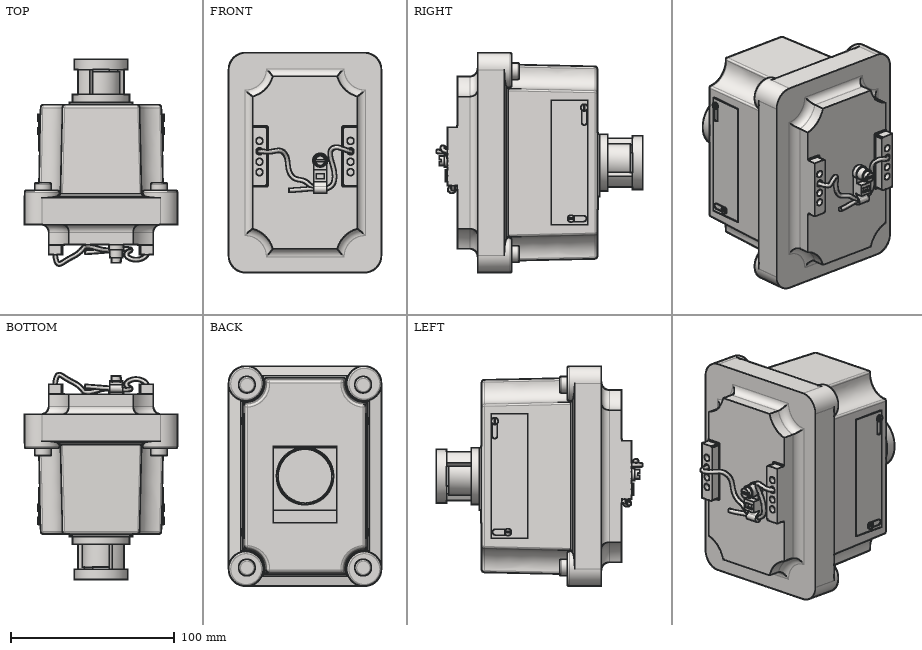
import cadquery as cq
import math

PLATE_X = 93.73
PLATE_Z = 134.87
PLATE_CORNER_R = 10.65
PLATE_EDGE_Y = 16.5
LEDGE_RISE = 1.2
LEDGE_WIDTH = 7.2
LEDGE_CORNER_R = PLATE_CORNER_R + 0.3
PAD_Y = 21.0
PAD_ROUND = 1.2
PAD_CENTER_X = PLATE_X / 2 - PLATE_CORNER_R
PAD_CENTER_Z = PLATE_Z / 2 - PLATE_CORNER_R

BOLT_X = 35.6
BOLT_Z = 56.0
BOLT_R = 5.1
BOLT_HEAD = 4.6
BOLT_ROUND = 1.0

BODY_Y = 73.5
BODY_EMBED = 2.0
BODY_START_Y = PLATE_EDGE_Y + LEDGE_RISE - BODY_EMBED
BODY_HALF_X = 38.25
BODY_HALF_Z = 60.25
BODY_SCOOP_R = 11.4
BODY_DRAFT = 1.25
BODY_ROUND = 1.8
SCOOP_EDGE_ROUND = 1.2
SKIRT_FOOT = 3.0
SKIRT_RISE = 4.0

BOSS_HALF_X = 32.1
BOSS_HALF_Z = 52.85
BOSS_DEPTH = 12.3
BOSS_ROOT_R = 4.7
BOSS_SCOOP_R = 17.7

BLOCK_INNER_X = 23.4
BLOCK_FRONT_Y = -18.4
BLOCK_TOP_Z = 21.8
BLOCK_BOTTOM_Z = -14.1
BLOCK_CHAMFER = 0.8
BLOCK_BASE_MARGIN = 0.8
BLOCK_BASE_HEIGHT = 0.3
TERMINAL_X = 27.9
TERMINAL_TOP_Z = 13.3
TERMINAL_PITCH = 6.38
TERMINAL_COUNT = 4
TERMINAL_R = 2.1
TERMINAL_DEPTH = 4.0
TERMINAL_WIRED = 1

SCREW_X = 9.3
SCREW_Z = 1.2
SCREW_FLANGE_R = 4.5
SCREW_FLANGE_Y = -15.4
SCREW_POST_R = 3.9
SCREW_POST_Y = -20.3
SCREW_HEAD_R = 3.0
SCREW_HEAD_Y = -23.5
SCREW_SLOT_WIDTH = 1.2
SCREW_SLOT_DEPTH = 1.2
CLAMP_WIDTH = 7.9
CLAMP_BLOCK_Y = -19.7
CLAMP_BLOCK_TOP_Z = -4.4
CLAMP_BLOCK_BOTTOM_Z = -11.7
CLAMP_NECK_Y = -14.5
CLAMP_SADDLE_DEG = 25
CLAMP_WINDOW_X = 5.0
CLAMP_WINDOW_Z = 3.1
CLAMP_WINDOW_CENTER_Z = -8.3
CLAMP_WINDOW_DEPTH = 2.0
SLEEVE_R = 2.4
SLEEVE_Y = -15.7
SLEEVE_Z = -16.4
WIRE_R = 1.25
WIRE_EMBED = 0.3

LABEL_FACE_X = 38.0
LABEL_ROOT_X = 33.0
LABEL_BACK_Y = 67.6
LABEL_FRONT_Y = 45.2
LABEL_HALF_Z = 38.2
LABEL_SLOT_FLOOR_X = 37.6
LABEL_SCREW_R = 2.1
LABEL_SCREW_TOP_X = 38.85
LABEL_SCREW_SLOT = 0.8
LABEL_SCREW_SLOT_DEPTH = 0.6
UPPER_SCREW = (65.4, 33.7)
UPPER_SLOT_WIDTH = 3.0
UPPER_SLOT_END_Z = 23.0
LOWER_SCREW = (57.3, -34.3)
LOWER_SLOT_WIDTH = 3.6
LOWER_SLOT_END_Y = 66.7

TAG_HALF_X = 19.4
TAG_TOP_Z = 18.4
TAG_BOTTOM_Z = -28.7
TAG_HEIGHT = 0.35
TAG_EMBED = 1.0
HUB_PLATE_BOTTOM_Z = -20.8
HUB_PLATE_Y = 75.0
HUB_R = 17.5
HUB_Y = 79.8
KNOB_CORE_R = 11.6
WING_INNER_R = 11.9
WING_OUTER_R = 16.4
KNOB_CORE_Y = 93.7
KNOB_R = 16.5
KNOB_CAP_FRONT_Y = 94.9
KNOB_CAP_BACK_Y = 101.32
WING_START_DEG = 30.2
WING_END_DEG = 65.6

CORNERS = [(sx, sz) for sx in (-1, 1) for sz in (-1, 1)]


def rear_plane(y):
    """Workplane at depth y whose normal is +Y; its local y axis runs along -Z."""
    return cq.Workplane(cq.Plane(origin=(0, y, 0), xDir=(1, 0, 0), normal=(0, 1, 0)))


def box(x0, x1, y0, y1, z0, z1):
    """Box between two opposite corners, given in any order."""
    size = (abs(x1 - x0), abs(y1 - y0), abs(z1 - z0))
    return cq.Workplane("XY").box(*size).translate(((x0 + x1) / 2, (y0 + y1) / 2, (z0 + z1) / 2))


def cylinder(x, z, radius, y0, y1):
    """Cylinder along Y from y0 back to y1."""
    return rear_plane(y0).center(x, -z).circle(radius).extrude(y1 - y0)


def scooped_outline(plane, half_x, half_z, center_x, center_z, radius):
    """Rectangle whose four corners are cut away by circles about (center_x, center_z)."""
    edge_x = center_x - math.sqrt(radius**2 - (half_z - center_z) ** 2)
    edge_z = center_z - math.sqrt(radius**2 - (half_x - center_x) ** 2)
    mid_x = center_x - radius * math.cos(math.pi / 4)
    mid_z = center_z - radius * math.sin(math.pi / 4)
    return (
        plane.moveTo(-edge_x, half_z)
        .lineTo(edge_x, half_z)
        .threePointArc((mid_x, mid_z), (half_x, edge_z))
        .lineTo(half_x, -edge_z)
        .threePointArc((mid_x, -mid_z), (edge_x, -half_z))
        .lineTo(-edge_x, -half_z)
        .threePointArc((-mid_x, -mid_z), (-half_x, -edge_z))
        .lineTo(-half_x, edge_z)
        .threePointArc((-mid_x, mid_z), (-edge_x, half_z))
        .close()
    )


def make_plate():
    """Cross-shaped plate rounded off by corner pads, with a sloping rear ledge and four bolts."""
    half_x = PLATE_X / 2
    half_z = PLATE_Z / 2
    plate = box(-half_x, half_x, 0, PLATE_EDGE_Y, -PAD_CENTER_Z, PAD_CENTER_Z)
    plate = plate.union(box(-PAD_CENTER_X, PAD_CENTER_X, 0, PLATE_EDGE_Y, -half_z, half_z))
    slope = math.degrees(math.atan2(LEDGE_WIDTH, LEDGE_RISE))
    outline = cq.Sketch().rect(PLATE_X, PLATE_Z).vertices().fillet(LEDGE_CORNER_R)
    plate = plate.union(rear_plane(PLATE_EDGE_Y).placeSketch(outline).extrude(LEDGE_RISE, taper=slope))
    for sx, sz in CORNERS:
        pad = cylinder(sx * PAD_CENTER_X, sz * PAD_CENTER_Z, PLATE_CORNER_R, 0, PAD_Y)
        bolt = cylinder(sx * BOLT_X, sz * BOLT_Z, BOLT_R, 0, PAD_Y + BOLT_HEAD)
        plate = plate.union(pad.faces(">Y").edges().fillet(PAD_ROUND))
        plate = plate.union(bolt.faces(">Y").edges().fillet(BOLT_ROUND))
    return plate


def make_body():
    """Drafted housing with a rounded rear rim and a sloping skirt at its foot."""

    def outline(grow):
        half_x = BODY_HALF_X + grow
        half_z = BODY_HALF_Z + grow
        radius = BODY_SCOOP_R - grow
        return scooped_outline(rear_plane(BODY_START_Y), half_x, half_z, PAD_CENTER_X, PAD_CENTER_Z, radius)

    body = outline(0).extrude(BODY_Y - BODY_START_Y, taper=BODY_DRAFT)
    body = body.edges("not (#Y or >Y or <Y)").fillet(SCOOP_EDGE_ROUND)
    body = body.faces(">Y").edges().fillet(BODY_ROUND)
    skirt = outline(SKIRT_FOOT).extrude(SKIRT_RISE, taper=45)
    return body.union(skirt)


def add_boss(part):
    """Add the front boss and the concave fillet at its root."""
    overlap = 1.0
    tolerance = 0.1
    center_x = BOSS_HALF_X + BOSS_ROOT_R
    center_z = BOSS_HALF_Z + BOSS_ROOT_R
    boss = scooped_outline(
        rear_plane(-BOSS_DEPTH), BOSS_HALF_X, BOSS_HALF_Z, center_x, center_z, BOSS_SCOOP_R
    ).extrude(BOSS_DEPTH + overlap)
    root_box = cq.selectors.BoxSelector(
        (-center_x, -tolerance, -center_z), (center_x, tolerance, center_z)
    )
    return part.union(boss).edges(root_box).fillet(BOSS_ROOT_R)


def make_terminal_block(side):
    """Terminal block on one side (-1 or 1) with its row of blind holes and thin base."""
    block = box(
        side * BOSS_HALF_X, side * BLOCK_INNER_X, -BOSS_DEPTH, BLOCK_FRONT_Y, BLOCK_BOTTOM_Z, BLOCK_TOP_Z
    )
    base = box(
        side * BOSS_HALF_X,
        side * (BLOCK_INNER_X - BLOCK_BASE_MARGIN),
        -BOSS_DEPTH,
        -BOSS_DEPTH - BLOCK_BASE_HEIGHT,
        BLOCK_BOTTOM_Z - BLOCK_BASE_MARGIN,
        BLOCK_TOP_Z + BLOCK_BASE_MARGIN,
    )
    inner_edges = "|Y and <X" if side > 0 else "|Y and >X"
    block = block.edges(inner_edges).chamfer(BLOCK_CHAMFER)
    base = base.edges(inner_edges).chamfer(BLOCK_CHAMFER)
    block = block.union(base)
    for index in range(TERMINAL_COUNT):
        z = TERMINAL_TOP_Z - index * TERMINAL_PITCH
        hole = cylinder(side * TERMINAL_X, z, TERMINAL_R, BLOCK_FRONT_Y, BLOCK_FRONT_Y + TERMINAL_DEPTH)
        block = block.cut(hole)
    return block


def make_earth_screw():
    """Flanged screw post with a slotted head."""
    screw = cylinder(SCREW_X, SCREW_Z, SCREW_FLANGE_R, SCREW_FLANGE_Y, -BOSS_DEPTH)
    screw = screw.union(cylinder(SCREW_X, SCREW_Z, SCREW_POST_R, SCREW_POST_Y, -BOSS_DEPTH))
    screw = screw.union(cylinder(SCREW_X, SCREW_Z, SCREW_HEAD_R, SCREW_HEAD_Y, -BOSS_DEPTH))
    slot = box(
        SCREW_X - SCREW_HEAD_R,
        SCREW_X + SCREW_HEAD_R,
        SCREW_HEAD_Y,
        SCREW_HEAD_Y + SCREW_SLOT_DEPTH,
        SCREW_Z - SCREW_SLOT_WIDTH / 2,
        SCREW_Z + SCREW_SLOT_WIDTH / 2,
    )
    return screw.cut(slot)


def make_clamp():
    """Strap from the earth screw to a windowed block that ends in a cable sleeve."""
    x0 = SCREW_X - CLAMP_WIDTH / 2
    saddle = math.radians(CLAMP_SADDLE_DEG)
    profile = [
        (-BOSS_DEPTH, SCREW_Z),
        (SCREW_FLANGE_Y, SCREW_Z),
        (SCREW_FLANGE_Y, CLAMP_BLOCK_TOP_Z),
        (CLAMP_BLOCK_Y, CLAMP_BLOCK_TOP_Z),
        (CLAMP_BLOCK_Y, CLAMP_BLOCK_BOTTOM_Z),
        (CLAMP_NECK_Y, CLAMP_BLOCK_BOTTOM_Z),
        (SLEEVE_Y - SLEEVE_R * math.cos(saddle), SLEEVE_Z + SLEEVE_R * math.sin(saddle)),
        (SLEEVE_Y, SLEEVE_Z),
        (-BOSS_DEPTH, SLEEVE_Z),
    ]
    clamp = cq.Workplane("YZ", origin=(x0, 0, 0)).polyline(profile).close().extrude(CLAMP_WIDTH)
    window = box(
        SCREW_X - CLAMP_WINDOW_X / 2,
        SCREW_X + CLAMP_WINDOW_X / 2,
        CLAMP_BLOCK_Y,
        CLAMP_BLOCK_Y + CLAMP_WINDOW_DEPTH,
        CLAMP_WINDOW_CENTER_Z - CLAMP_WINDOW_Z / 2,
        CLAMP_WINDOW_CENTER_Z + CLAMP_WINDOW_Z / 2,
    )
    sleeve = cq.Workplane("YZ", origin=(x0, 0, 0)).center(SLEEVE_Y, SLEEVE_Z).circle(SLEEVE_R)
    return clamp.cut(window).union(sleeve.extrude(CLAMP_WIDTH))


def make_wire(points):
    """Round wire along a smooth curve through the given points."""
    path = cq.Workplane("XY").spline([cq.Vector(*point) for point in points])
    start = cq.Vector(*points[0])
    direction = path.val().tangentAt(0)
    return cq.Workplane(cq.Plane(origin=start, normal=direction)).circle(WIRE_R).sweep(path)


def make_wires():
    """Two terminal wires and one loose tail, all meeting inside the clamp sleeve."""
    wired_z = TERMINAL_TOP_Z - TERMINAL_WIRED * TERMINAL_PITCH
    wire_start_y = BLOCK_FRONT_Y + TERMINAL_DEPTH + WIRE_EMBED
    sleeve_center = (SCREW_X, SLEEVE_Y, SLEEVE_Z)
    left = [
        (-TERMINAL_X, wire_start_y, wired_z),
        (-TERMINAL_X, -20.0, wired_z),
        (-25.9, -24.1, 6.9),
        (-22.2, -22.4, 6.6),
        (-14.3, -17.8, 7.1),
        (-11.3, -15.0, 3.4),
        (-9.6, -13.6, -5.5),
        (-6.4, -13.6, -9.6),
        (-0.6, -15.0, -11.2),
        (4.6, -15.7, -15.0),
        sleeve_center,
    ]
    right = [
        (TERMINAL_X, wire_start_y, wired_z),
        (27.6, -18.9, wired_z),
        (25.1, -20.7, 7.7),
        (19.2, -21.2, 9.4),
        (16.3, -19.8, 8.3),
        (15.5, -18.0, 4.5),
        (17.0, -16.4, -1.7),
        (18.1, -15.6, -8.4),
        (17.0, -15.0, -13.2),
        (13.3, -15.0, -15.9),
        sleeve_center,
    ]
    tail = [(-9.8, -17.0, -16.8), (-4.0, -16.6, -16.6), (2.0, -16.1, -16.1), sleeve_center]
    return [make_wire(points) for points in (left, right, tail)]


def make_label():
    """Name plate on the -X side with two slots, each holding a slotted screw head."""
    upper_y, upper_z = UPPER_SCREW
    lower_y, lower_z = LOWER_SCREW
    label = box(
        -LABEL_FACE_X, -LABEL_ROOT_X, LABEL_FRONT_Y, LABEL_BACK_Y, -LABEL_HALF_Z, LABEL_HALF_Z
    )
    plane = cq.Workplane("YZ", origin=(-LABEL_SLOT_FLOOR_X, 0, 0))
    upper_length = upper_z - UPPER_SLOT_END_Z + UPPER_SLOT_WIDTH / 2
    upper = plane.center(upper_y, UPPER_SLOT_END_Z + upper_length / 2)
    label = label.cut(upper.slot2D(upper_length, UPPER_SLOT_WIDTH, 90).extrude(-1))
    lower_length = LOWER_SLOT_END_Y - lower_y + LOWER_SLOT_WIDTH / 2
    lower = plane.center(LOWER_SLOT_END_Y - lower_length / 2, lower_z)
    label = label.cut(lower.slot2D(lower_length, LOWER_SLOT_WIDTH).extrude(-1))
    groove_x = -LABEL_SCREW_TOP_X + LABEL_SCREW_SLOT_DEPTH
    grooves = [(LABEL_SCREW_SLOT, 2 * LABEL_SCREW_R), (2 * LABEL_SCREW_R, LABEL_SCREW_SLOT)]
    for (y, z), groove in zip((UPPER_SCREW, LOWER_SCREW), grooves):
        head = plane.center(y, z).circle(LABEL_SCREW_R).extrude(LABEL_SLOT_FLOOR_X - LABEL_SCREW_TOP_X)
        slot = cq.Workplane("YZ", origin=(groove_x, y, z)).rect(*groove).extrude(-LABEL_SCREW_SLOT_DEPTH)
        label = label.union(head.cut(slot))
    return label


def make_wing():
    """Ring segment that joins the hub to the knob cap, in the -X +Z quadrant."""

    def point(radius, degrees):
        angle = math.radians(degrees)
        return (-radius * math.cos(angle), -radius * math.sin(angle))

    middle = (WING_START_DEG + WING_END_DEG) / 2
    return (
        rear_plane(HUB_PLATE_Y)
        .moveTo(*point(WING_INNER_R, WING_START_DEG))
        .lineTo(*point(WING_OUTER_R, WING_START_DEG))
        .threePointArc(point(WING_OUTER_R, middle), point(WING_OUTER_R, WING_END_DEG))
        .lineTo(*point(WING_INNER_R, WING_END_DEG))
        .threePointArc(point(WING_INNER_R, middle), point(WING_INNER_R, WING_START_DEG))
        .close()
        .extrude(KNOB_CAP_BACK_Y - HUB_PLATE_Y)
    )


def make_knob():
    """Rear tag, hub plate, hub, knob core, two wings and the cap they carry."""
    tag = box(-TAG_HALF_X, TAG_HALF_X, BODY_Y - TAG_EMBED, BODY_Y + TAG_HEIGHT, TAG_BOTTOM_Z, TAG_TOP_Z)
    plate = box(-TAG_HALF_X, TAG_HALF_X, BODY_Y - TAG_EMBED, HUB_PLATE_Y, HUB_PLATE_BOTTOM_Z, HUB_R)
    knob = tag.union(plate)
    knob = knob.union(cylinder(0, 0, HUB_R, BODY_Y, HUB_Y))
    knob = knob.union(cylinder(0, 0, KNOB_CORE_R, BODY_Y, KNOB_CORE_Y))
    knob = knob.union(cylinder(0, 0, KNOB_R, KNOB_CAP_FRONT_Y, KNOB_CAP_BACK_Y))
    wing = make_wing()
    return knob.union(wing).union(wing.rotate((0, 0, 0), (0, 1, 0), 180))


result = add_boss(make_plate())
result = result.union(make_body())
result = result.union(make_knob())
left_label = make_label()
result = result.union(left_label).union(left_label.mirror("YZ"))
for block_side in (-1, 1):
    result = result.union(make_terminal_block(block_side))
result = result.union(make_earth_screw()).union(make_clamp())
for wire in make_wires():
    result = result.union(wire)